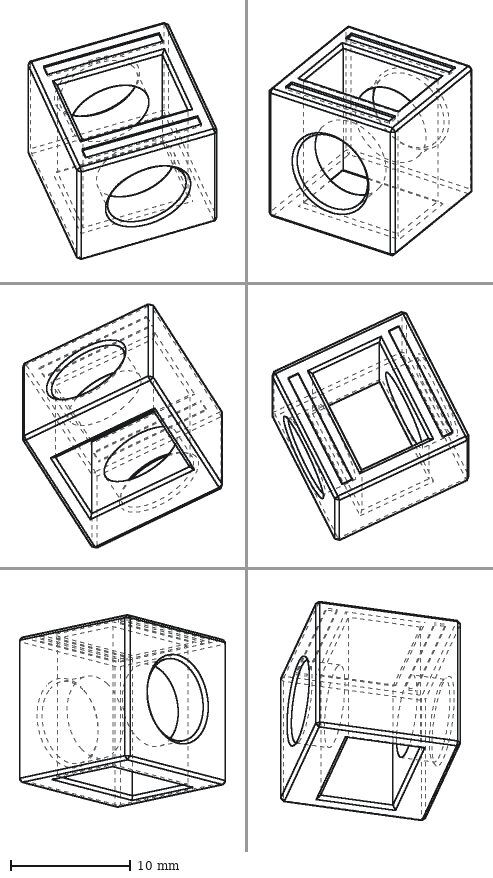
import cadquery as cq

side = 12.5
edge_chamfer = 0.3

window_x = 6.25
window_y = 9.38

bore_diameter = 7.0

recess_x = 0.94
recess_y = 10.3
recess_offset = 4.69
recess_depth = 0.2


def make_body():
    """Cube centred on the origin with every outer edge chamfered."""
    return cq.Workplane("XY").box(side, side, side).edges().chamfer(edge_chamfer)


def make_window():
    """Cutter for the window, widening to a chamfer at the top and bottom faces."""
    cutter = cq.Workplane("XY").box(window_x, window_y, side)
    for end in (-1, 1):
        flare = (
            cq.Workplane("XY", origin=(0, 0, end * (side / 2 - edge_chamfer)))
            .rect(window_x, window_y)
            .workplane(offset=end * edge_chamfer)
            .rect(window_x + 2 * edge_chamfer, window_y + 2 * edge_chamfer)
            .loft(ruled=True)
        )
        cutter = cutter.union(flare)
    return cutter


def make_bore():
    """Cutter for the bore, revolved about X with a chamfer at each outer face."""
    radius = bore_diameter / 2
    mouth_radius = radius + edge_chamfer
    face = side / 2
    shoulder = face - edge_chamfer
    profile = [
        (-face, 0),
        (-face, mouth_radius),
        (-shoulder, radius),
        (shoulder, radius),
        (face, mouth_radius),
        (face, 0),
    ]
    return cq.Workplane("XY").polyline(profile).close().revolve(360, (0, 0, 0), (1, 0, 0))


def make_recesses():
    """Cutters for the two recesses in the top face."""
    return (
        cq.Workplane("XY", origin=(0, 0, side / 2))
        .pushPoints([(-recess_offset, 0), (recess_offset, 0)])
        .rect(recess_x, recess_y)
        .extrude(-recess_depth)
    )


result = make_body().cut(make_window()).cut(make_bore()).cut(make_recesses())